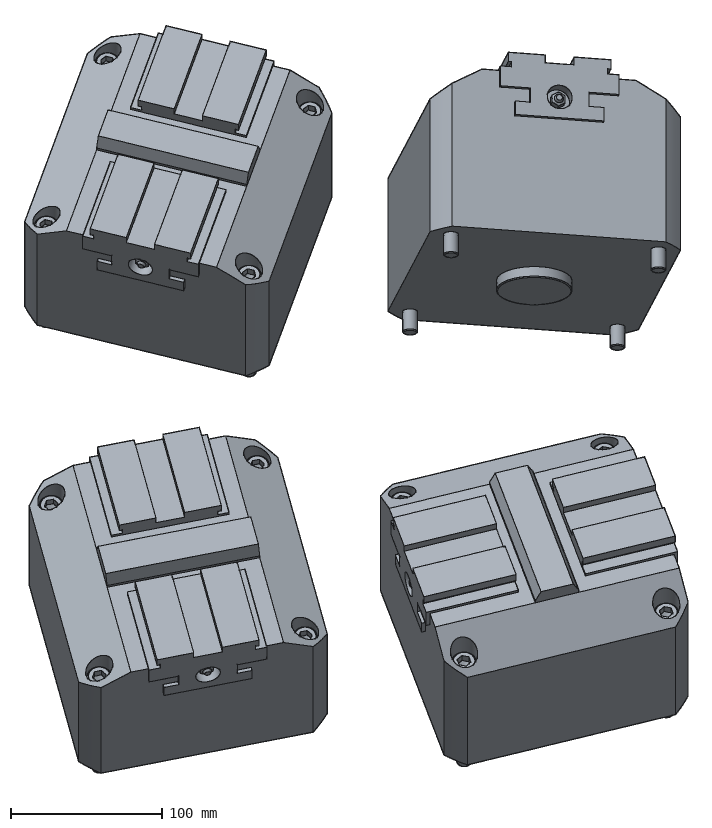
import cadquery as cq
import math

body_width = 169.0
body_height = 113.6
corner_flat_half = 72.0
top_flat_half_width = 51.9
shoulder_angle = 30

spigot_diameter = 50.0
spigot_height = 7.5
spigot_chamfer = 0.7

rib_foot_height = 2.1
rib_height = 10.5
rib_half_base = 15.1
rib_half_top = 11.1

slide_end = 87
slide_inner_end = 23.1
slide_top = 126.0
slide_head_half_width = 34.6
slide_head_underside = 119.4
slide_neck_half_width = 32.4
slide_shoulder_half_width = 40
slide_shoulder_top = 115.7
slide_shoulder_bottom = 101.6
slide_web_half_width = 19.8
slide_foot_half_width = 30.0
slide_foot_top = 91.5
slide_foot_bottom = 82.0
slide_groove_half_width = 9.7
slide_groove_depth = 5.5

recess_diameter = 16.7
recess_depth = 8.7
recess_height = 96.7
spindle_across_flats = 8.7
spindle_length = 7.8
spindle_bevel_diameter = 6.1
spindle_bevel_angle = 60
spindle_tip_diameter = 4.0
spindle_tip_angle = 30

screw_offset = 70.0
counterbore_diameter = 18.0
head_diameter = 16.0
head_height = 10.0
head_top = 94
head_edge_chamfer = 0.9
socket_across_flats = 8.0
socket_depth = 5.0
socket_point_angle = 60
shank_diameter = 10.0
shank_projection = 15.0
shank_chamfer = 0.7

overlap = 1.7


def across_corners(across_flats):
    return across_flats / math.cos(math.radians(30))


def make_body():
    half_width = body_width / 2
    shoulder_drop = (half_width - top_flat_half_width) * math.tan(math.radians(shoulder_angle))
    block = (
        cq.Workplane("XZ")
        .moveTo(-half_width, 0)
        .lineTo(half_width, 0)
        .lineTo(half_width, body_height - shoulder_drop)
        .lineTo(top_flat_half_width, body_height)
        .lineTo(-top_flat_half_width, body_height)
        .lineTo(-half_width, body_height - shoulder_drop)
        .close()
        .extrude(half_width, both=True)
    )
    corner_radius = math.hypot(half_width, corner_flat_half)
    return block.intersect(cq.Workplane("XY").circle(corner_radius).extrude(body_height))


def make_spigot():
    return (
        cq.Workplane("XY")
        .workplane(offset=-spigot_height)
        .circle(spigot_diameter / 2)
        .extrude(spigot_height + overlap)
        .faces("<Z")
        .chamfer(spigot_chamfer)
    )


def make_rib():
    foot_top = body_height + rib_foot_height
    rib_top = body_height + rib_height
    return (
        cq.Workplane("YZ")
        .moveTo(-rib_half_base, body_height - overlap)
        .lineTo(rib_half_base, body_height - overlap)
        .lineTo(rib_half_base, foot_top)
        .lineTo(rib_half_top, rib_top)
        .lineTo(-rib_half_top, rib_top)
        .lineTo(-rib_half_base, foot_top)
        .close()
        .extrude(top_flat_half_width, both=True)
    )


def make_spindle():
    """Hexagonal spindle end, bevelled to a conical tip, pointing along -Y from the recess floor."""
    corner_diameter = across_corners(spindle_across_flats)
    hexagon = (
        cq.Workplane("XY")
        .polygon(6, corner_diameter)
        .extrude(spindle_length + overlap)
        .rotate((0, 0, 0), (0, 0, 1), 30)
    )
    corner_radius = corner_diameter / 2
    bevel_radius = spindle_bevel_diameter / 2
    tip_radius = spindle_tip_diameter / 2
    tip_cone_length = (bevel_radius - tip_radius) / math.tan(math.radians(spindle_tip_angle))
    bevel_length = (corner_radius - bevel_radius) / math.tan(math.radians(spindle_bevel_angle))
    total_length = spindle_length + overlap
    bevel_end = total_length - tip_cone_length
    envelope = (
        cq.Workplane("XZ")
        .moveTo(0, 0)
        .lineTo(corner_radius, 0)
        .lineTo(corner_radius, bevel_end - bevel_length)
        .lineTo(bevel_radius, bevel_end)
        .lineTo(tip_radius, total_length)
        .lineTo(0, total_length)
        .close()
        .revolve(360, (0, 0, 0), (0, 1, 0))
    )
    floor_y = -slide_end + recess_depth
    return (
        hexagon.intersect(envelope)
        .rotate((0, 0, 0), (1, 0, 0), 90)
        .translate((0, floor_y + overlap, recess_height))
    )


def make_slide():
    """Slide on the -Y side, without its spindle recess."""
    groove_floor = slide_top - slide_groove_depth
    half_profile = [
        (slide_groove_half_width, groove_floor),
        (slide_groove_half_width, slide_top),
        (slide_head_half_width, slide_top),
        (slide_head_half_width, slide_head_underside),
        (slide_neck_half_width, slide_head_underside),
        (slide_neck_half_width, slide_shoulder_top),
        (slide_shoulder_half_width, slide_shoulder_top),
        (slide_shoulder_half_width, slide_shoulder_bottom),
        (slide_web_half_width, slide_shoulder_bottom),
        (slide_web_half_width, slide_foot_top),
        (slide_foot_half_width, slide_foot_top),
        (slide_foot_half_width, slide_foot_bottom),
    ]
    mirrored_profile = [(-x, z) for x, z in reversed(half_profile)]
    return (
        cq.Workplane("XZ", origin=(0, -slide_inner_end, 0))
        .polyline(half_profile + mirrored_profile)
        .close()
        .extrude(slide_end - slide_inner_end)
    )


def make_recess():
    return (
        cq.Workplane("XZ", origin=(0, -slide_end + recess_depth, recess_height))
        .circle(recess_diameter / 2)
        .extrude(recess_depth)
    )


def make_counterbore():
    seat = head_top - head_height
    return (
        cq.Workplane("XY")
        .workplane(offset=seat)
        .circle(counterbore_diameter / 2)
        .extrude(body_height - seat)
    )


def make_socket():
    """Hexagonal key socket with a conical floor, opening at the top of the screw head."""
    corner_diameter = across_corners(socket_across_flats)
    cone_depth = corner_diameter / 2 / math.tan(math.radians(socket_point_angle))
    hexagon = (
        cq.Workplane("XY")
        .workplane(offset=head_top - socket_depth - cone_depth)
        .polygon(6, corner_diameter)
        .extrude(socket_depth + cone_depth)
    )
    envelope = (
        cq.Workplane("XZ")
        .moveTo(0, head_top - socket_depth - cone_depth)
        .lineTo(corner_diameter / 2, head_top - socket_depth)
        .lineTo(corner_diameter / 2, head_top)
        .lineTo(0, head_top)
        .close()
        .revolve(360, (0, 0, 0), (0, 1, 0))
    )
    return hexagon.intersect(envelope)


def make_screw():
    """Cap screw whose shank projects below the mounting face."""
    seat = head_top - head_height
    head = (
        cq.Workplane("XY")
        .workplane(offset=seat - overlap)
        .circle(head_diameter / 2)
        .extrude(head_height + overlap)
        .faces(">Z")
        .chamfer(head_edge_chamfer)
    )
    shank = (
        cq.Workplane("XY")
        .workplane(offset=-shank_projection)
        .circle(shank_diameter / 2)
        .extrude(shank_projection + seat)
        .faces("<Z")
        .chamfer(shank_chamfer)
    )
    return head.union(shank).cut(make_socket())


result = make_body().union(make_spigot()).union(make_rib())

for turn in (0, 180):
    slide, recess, spindle = (
        piece.rotate((0, 0, 0), (0, 0, 1), turn)
        for piece in (make_slide(), make_recess(), make_spindle())
    )
    result = result.union(slide).cut(recess).union(spindle)

for x_side in (-1, 1):
    for y_side in (-1, 1):
        place = (x_side * screw_offset, y_side * screw_offset, 0)
        result = result.cut(make_counterbore().translate(place))
        result = result.union(make_screw().translate(place))